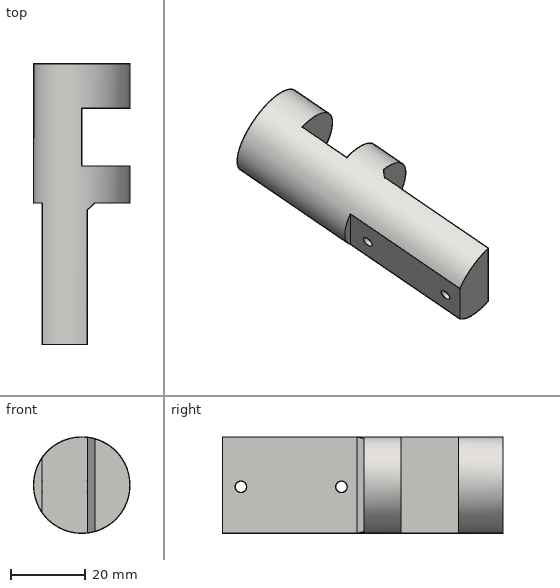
import cadquery as cq

length = 75.5
diameter = 26.0
radius = diameter / 2

tongue_length = 38.05
tongue_left = -10.65
tongue_thickness = 12.15
tongue_right = tongue_left + tongue_thickness
corner_width = 2.05
corner_length = 1.9

notch_start = 48.0
notch_end = 63.5

hole_diameter = 3.0
hole_positions = (5.0, 32.0)
hole_z = -0.45


def cut_prism(points):
    """Extrude an XY outline through the whole height of the bar."""
    return cq.Workplane("XY").polyline(points).close().extrude(radius, both=True)


def cross_hole(y):
    """Cylinder along X through the full width of the bar."""
    return (
        cq.Workplane("YZ", origin=(-radius, 0, 0))
        .center(y, hole_z)
        .circle(hole_diameter / 2)
        .extrude(diameter)
    )


bar = cq.Workplane("XZ").circle(radius).extrude(-length)

left_relief = cut_prism([
    (-radius, 0),
    (tongue_left, 0),
    (tongue_left, tongue_length),
    (-radius, tongue_length),
])

right_relief = cut_prism([
    (tongue_right, 0),
    (radius, 0),
    (radius, tongue_length),
    (tongue_right + corner_width, tongue_length),
    (tongue_right, tongue_length - corner_length),
])

notch = cut_prism([
    (0, notch_start),
    (radius, notch_start),
    (radius, notch_end),
    (0, notch_end),
])

result = bar.cut(left_relief).cut(right_relief).cut(notch)
for hole_y in hole_positions:
    result = result.cut(cross_hole(hole_y))